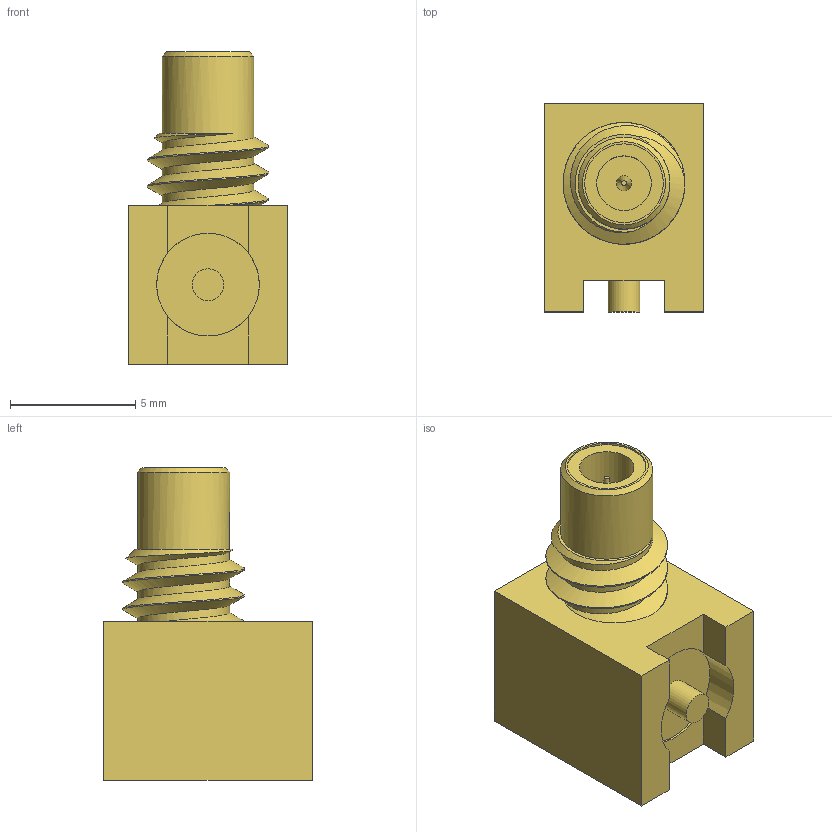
import cadquery as cq
import math


body_width = 6.35
body_depth = 8.3
body_height = 6.35
back_y = body_width / 2
front_y = back_y - body_depth

slot_width = 3.2
slot_depth = 1.27
recess_radius = 2.05
recess_extra_depth = 0.08
recess_z = body_height / 2
slot_floor_y = front_y + slot_depth

solder_pin_radius = 0.635

overall_height = 12.47
barrel_radius = 1.835
barrel_chamfer = 0.18
face_recess_radius = 1.57
face_recess_depth = 0.08
bore_radius = 1.09
thread_top_z = 9.21
bore_floor_z = thread_top_z

contact_base_radius = 0.3
contact_tip_radius = 0.1
contact_tip_z = 11.9

thread_radius = 2.43
thread_pitch = 25.4 / 24
crest_width = 0.05
flank_angle = math.radians(30)
join_overlap = 0.1
crest_z_at_plus_x = 8.69
thread_top_radius = 1.95
turns_below_reference = 3
thread_turns = 4


def cylinder_z(radius, bottom_z, top_z):
    return cq.Workplane("XY").workplane(offset=bottom_z).circle(radius).extrude(top_z - bottom_z)


def cylinder_y(radius, start_y, end_y):
    """Cylinder along Y, centred on the round recess."""
    return cq.Workplane("XZ", origin=(0, start_y, recess_z)).circle(radius).extrude(start_y - end_y)


def make_body():
    centre_y = (front_y + back_y) / 2
    block = cq.Workplane("XY").center(0, centre_y).box(
        body_width, body_depth, body_height, centered=(True, True, False)
    )
    slot = cq.Workplane("XY").center(0, front_y).rect(slot_width, 2 * slot_depth).extrude(body_height)
    recess_floor_y = slot_floor_y + recess_extra_depth
    recess = cylinder_y(recess_radius, recess_floor_y, front_y)
    pin = cylinder_y(solder_pin_radius, recess_floor_y, front_y)
    return block.cut(slot).cut(recess).union(pin)


def make_thread():
    """Helical ridge, trimmed flat at both ends with a 45 degree lead-in at the top."""
    start_z = crest_z_at_plus_x - turns_below_reference * thread_pitch
    inner_radius = barrel_radius - join_overlap
    half_crest = crest_width / 2
    half_root = half_crest + (thread_radius - inner_radius) * math.tan(flank_angle)
    path = cq.Wire.makeHelix(thread_pitch, thread_turns * thread_pitch, barrel_radius)
    ridge = (
        cq.Workplane("XZ")
        .polyline(
            [
                (inner_radius, -half_root),
                (thread_radius, -half_crest),
                (thread_radius, half_crest),
                (inner_radius, half_root),
            ]
        )
        .close()
        .sweep(cq.Workplane(path), isFrenet=True)
        .translate((0, 0, start_z))
    )
    envelope_radius = thread_radius + join_overlap
    envelope_bottom_z = body_height - join_overlap
    lead_in = envelope_radius - thread_top_radius
    envelope = cylinder_z(envelope_radius, envelope_bottom_z, thread_top_z).faces(">Z").chamfer(lead_in)
    return ridge.intersect(envelope)


def make_barrel():
    barrel = cylinder_z(barrel_radius, body_height - join_overlap, overall_height)
    return barrel.faces(">Z").chamfer(barrel_chamfer)


def make_barrel_cavity():
    face_recess = cylinder_z(face_recess_radius, overall_height - face_recess_depth, overall_height)
    return face_recess.union(cylinder_z(bore_radius, bore_floor_z, overall_height))


def make_contact():
    """Tapered centre contact standing on the bore floor."""
    return (
        cq.Workplane("XY")
        .workplane(offset=bore_floor_z)
        .circle(contact_base_radius)
        .workplane(offset=contact_tip_z - bore_floor_z)
        .circle(contact_tip_radius)
        .loft(ruled=True)
    )


shell = make_body().union(make_barrel()).union(make_thread())
result = shell.cut(make_barrel_cavity()).union(make_contact())